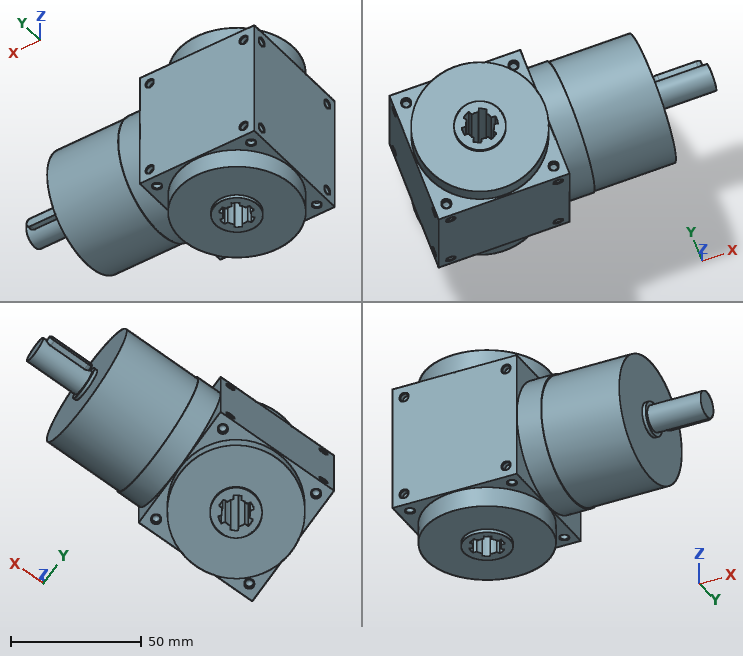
import cadquery as cq
import math

case_side = 54.0
case_setback = 0.4
cover_diameter = 53.0
cover_height = 8.5
total_height = 74.0
hub_diameter = 20.0

spline_minor_diameter = 11.0
spline_major_diameter = 14.0
spline_slot_width = 3.0
spline_slot_count = 6

hole_spacing = 44.0
hole_diameter = 3.3
hole_depth = 2.3
countersink_diameter = 4.0
countersink_depth = 0.4
drill_tip_angle = 118

total_length = 122.0
collar_diameter = 53.7
collar_length = 10.4
input_housing_diameter = 52.8
input_housing_length = 33.5
shoulder_diameter = 14.2
shoulder_length = 1.5
shaft_diameter = 11.0

key_length = 20.0
key_width = 4.0
key_height = 3.7
key_projection = 2.1
key_end_gap = 1.6

case_half = case_side / 2
case_right = case_half - case_setback
collar_end = case_right + collar_length
input_housing_end = collar_end + input_housing_length
shoulder_end = input_housing_end + shoulder_length
shaft_end = total_length - case_half
key_center = shaft_end - key_end_gap - key_length / 2
key_top = shaft_diameter / 2 + key_projection


def x_cylinder(diameter, start, end):
    """Cylinder on the X axis between two X positions."""
    return cq.Workplane("YZ", origin=(start, 0, 0)).circle(diameter / 2).extrude(end - start)


def z_cylinder(diameter, height):
    """Cylinder on the Z axis, centred on the origin."""
    return cq.Workplane("XY").circle(diameter / 2).extrude(height / 2, both=True)


def gear_case():
    """Block with a round cover and a short hub on its top and bottom."""
    block = cq.Workplane("XY").box(case_side - case_setback, case_side, case_side)
    block = block.translate((-case_setback / 2, 0, 0))
    covers = z_cylinder(cover_diameter, case_side + 2 * cover_height)
    hubs = z_cylinder(hub_diameter, total_height)
    return block.union(covers).union(hubs)


def input_side():
    """Collar, input housing, shoulder and shaft, one after another along X."""
    return (
        x_cylinder(collar_diameter, case_right, collar_end)
        .union(x_cylinder(input_housing_diameter, collar_end, input_housing_end))
        .union(x_cylinder(shoulder_diameter, input_housing_end, shoulder_end))
        .union(x_cylinder(shaft_diameter, shoulder_end, shaft_end))
    )


def splined_bore():
    """Round bore crossed by slots, each of which cuts two opposite spline grooves."""
    bore = z_cylinder(spline_minor_diameter, total_height)
    slot = cq.Workplane("XY").box(spline_major_diameter, spline_slot_width, total_height)
    slot = slot.intersect(z_cylinder(spline_major_diameter, total_height))
    for i in range(spline_slot_count // 2):
        angle = i * 360 / spline_slot_count
        bore = bore.union(slot.rotate((0, 0, 0), (0, 0, 1), angle))
    return bore


def top_face_holes():
    """Four countersunk holes with drilled tips, going down from the top face of the case."""
    hole_radius = hole_diameter / 2
    tip_depth = hole_depth + hole_radius / math.tan(math.radians(drill_tip_angle / 2))
    profile = [
        (0, 0),
        (countersink_diameter / 2, 0),
        (hole_radius, -countersink_depth),
        (hole_radius, -hole_depth),
        (0, -tip_depth),
    ]
    hole = cq.Workplane("XZ").polyline(profile).close().revolve(360, (0, 0, 0), (0, 1, 0))
    holes = cq.Workplane("XY")
    for x in (-hole_spacing / 2, hole_spacing / 2):
        for y in (-hole_spacing / 2, hole_spacing / 2):
            holes = holes.add(hole.translate((x, y, case_half)))
    return holes.combine()


def case_holes():
    """The four-hole pattern on every case face but the +X one."""
    pattern = top_face_holes()
    holes = pattern.rotate((0, 0, 0), (0, 1, 0), -90)
    for angle in (0, 90, 180, 270):
        holes = holes.add(pattern.rotate((0, 0, 0), (1, 0, 0), angle))
    return cq.Workplane(cq.Compound.makeCompound(holes.vals()))


def shaft_key():
    """Round-ended feather key, partly sunk in the input shaft."""
    base = cq.Workplane("XZ", origin=(key_center, key_top, 0))
    return base.slot2D(key_length, key_width).extrude(key_height)


key = shaft_key()
gearbox = gear_case().union(input_side()).cut(splined_bore()).cut(case_holes()).cut(key)

result = cq.Compound.makeCompound([gearbox.val(), key.val()])